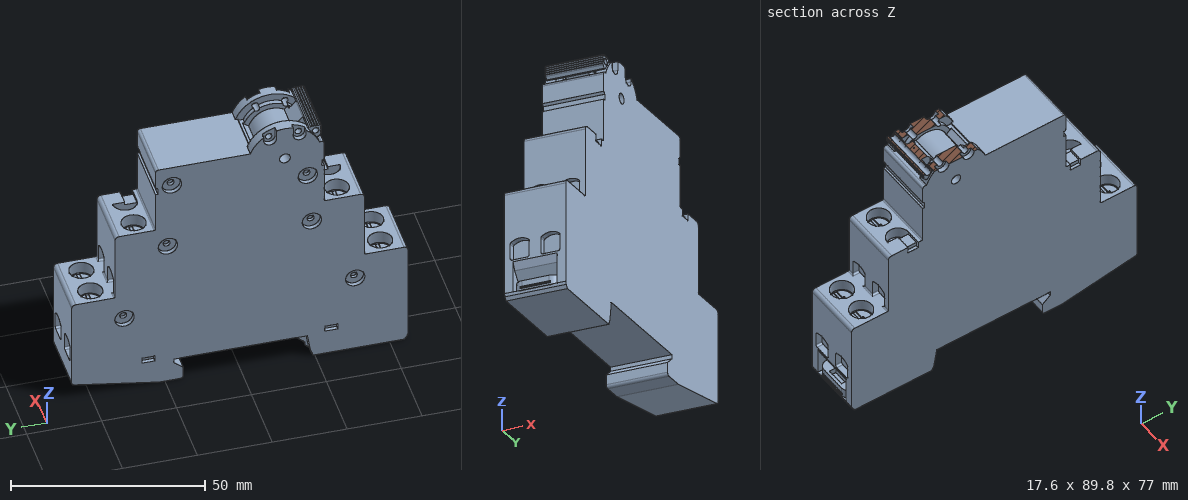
import cadquery as cq
import math

WIDTH = 17.6
LENGTH = 89.8
HALF_W = WIDTH / 2
HALF_L = LENGTH / 2

LOW_TOP = 30.6
MID_HALF_L = 33.3
MID_TOP = 50.7
TOP_HALF_L = 22.5
HOUSING_TOP = 70.6
STEP_ROUND = 1.1
CORNER_ROUND = 0.8
ROOT_ROUND = 0.4
CUT_MARGIN = 0.9

RAIL_ROOF = 6.8
RAIL_BACK_Y = 17.6
RAIL_FRONT_Y = -18.05
RAIL_BEND_Y = -18.95
RAIL_BEND_Z = 1.35
RAIL_LIP_Y = -19.6
HOOK_TOP = 3.6
HOOK_RAMP_TOP = 5.7
RAMP_START_Y = 21.4
RAMP_END_Z = 4.1
HOOK_TIP_Y = 15.1

TOE_TOP = 1.7
TOE_BEND_Z = 0.9
TOE_BEND_IN = 0.3
TOE_IN = 1.0

GROOVE_BOTTOM = 62.6
GROOVE_TOP = 64.8
GROOVE_DEPTH = 0.6

PIVOT_Y = -12.0
PIVOT_Z = 67.1
PIVOT_D = 2.9
CHEEK_R = 9.9
CHEEK_INNER_X = 5.7
RING_R = 7.8
DRUM_R = 6.3
DRUM_HALF_W = 4.3
ARM_HALF_W = 3.3
ARM_ROOT = (-15.45, 72.4)
ARM_TIP = (-20.4, 72.4)
ARM_FOOT = (-16.6, 69.15)
SHOULDER_END = (-16.4, 73.4)
SHELF_BACK_Y = -3.5
SHELF_FRONT_Y = -5.4
SHELF_DEPTH = 0.4
TRENCH_BACK_Y = -4.3
TRENCH_RAMP_END_Y = -6.0
TRENCH_FRONT_Y = -7.6
TRENCH_FLOOR = 68.8
PIN_OFFSET_Y = 3.95
PIN_Z = 74.2
PIN_D = 1.7
PIN_POCKET_R = 1.7
PIN_POCKET_DEPTH = 1.4
GRIP_HALF_W = 8.3
GRIP_HEEL = (-18.3, 75.25)
GRIP_HEEL_TOP = (-18.6, 75.6)
GRIP_BOTTOM_BACK_Y = -20.5
GRIP_BOTTOM_FRONT_Y = -21.1
GRIP_RIB_START_Y = -19.0
GRIP_FRONT_Y = -22.0
GRIP_TOP = 75.9
GRIP_RIB_END = 72.7
GRIP_BOTTOM = 72.0
GRIP_HOLE_D = 1.7
GRIP_HOLE_Y = -20.4
RIB_DEPTH = 0.3
TOP_RIBS = 4
FRONT_RIBS = 5

SCREW_X = 4.3
SCREW_HOLE_R = 3.2
SCREW_DEPTH = 3.4
HEAD_R = 3.05
HEAD_SINK = 0.2
LOW_SCREW_Y = 38.7
MID_SCREW_Y = 27.1
SLOT_WIDTH = 0.9
SLOT_DEPTH = 0.5
CROSS_WIDTH = 1.0
CROSS_LENGTH = 2.1

NOTCH_DEPTH = 0.8
NOTCH_EDGE_DEPTH = 2.0
NOTCH_EDGE_WIDTH = 0.9

ENTRY_X = 4.4
ENTRY_WIDTH = 5.4
ENTRY_HEIGHT = 5.8
ENTRY_SHOULDER = 4.85
ENTRY_DEPTH = 1.9
ENTRY_ROUND = 0.5
LOW_ENTRY_Z = 10.8

RIVETS = [(18.1, 64.75), (-18.1, 60.1), (19.2, 44.7), (-19.2, 44.7), (30.8, 23.3), (-30.8, 23.3)]
RIVET_D = 5.1
RIVET_DEPTH = 1.3
RIVET_CORE_D = 1.8
RIVET_CORE_DEPTH = 2.2
SIDE_SLOT_Y = 24.4
SIDE_SLOT_Z = 8.2
SIDE_SLOT_LENGTH = 3.4
SIDE_SLOT_HEIGHT = 1.6
SIDE_SLOT_DEPTH = 1.1

WINDOW_HALF_W = 6.3
WINDOW_FLOOR = 1.7
WINDOW_BEND = 8.1
WINDOW_TOP = 10.2
WINDOW_BEND_IN = 1.0
WINDOW_ROOF_IN = 4.0
SLIDER_TOP = 4.5
SLIDER_FRONT_Y = -44.6
SLIDER_ROUND = 2.4
LIP_HALF_W = 4.3
LIP_BOTTOM = 2.3
LIP_TOP = 2.8
SLIDER_NOTCH_W = 5.4
SLIDER_NOTCH_L = 2.0
SLIDER_RIM = 0.9

LATCH_HOOK = [
    (-19.8, RAIL_ROOF),
    (-16.7, RAIL_ROOF),
    (-16.7, 5.75),
    (-15.0, 5.5),
    (-18.1, 2.6),
    (-18.1, 1.7),
    (-19.0, 0.8),
    (-19.8, 0.8),
]


def extrude_x(sketch, x_min, x_max):
    """Extrude a closed YZ outline from x_min to x_max."""
    return sketch.extrude(x_max - x_min).translate((x_min, 0, 0))


def outline(points):
    return cq.Workplane("YZ").polyline(points).close()


def disc(y, z, radius, x_min, x_max):
    return extrude_x(cq.Workplane("YZ").center(y, z).circle(radius), x_min, x_max)


def upright_cylinder(x, y, radius, z_min, z_max):
    return cq.Workplane("XY").workplane(offset=z_min).center(x, y).circle(radius).extrude(z_max - z_min)


def block(x_min, x_max, y_min, y_max, z_min, z_max):
    size = (x_max - x_min, y_max - y_min, z_max - z_min)
    return cq.Workplane("XY").box(*size, centered=False).translate((x_min, y_min, z_min))


def round_edges_at(body, places, radius):
    """Fillet the edges that run along X through the given (Y, Z) places."""
    reach = 0.1
    for y, z in places:
        near = cq.selectors.BoxSelector(
            (-HALF_W, y - reach, z - reach), (HALF_W, y + reach, z + reach)
        )
        body = body.edges(near).fillet(radius)
    return body


def both_ends(y, z):
    return [(y, z), (-y, z)]


def housing():
    body = outline(
        [
            (HALF_L, RAMP_END_Z),
            (HALF_L, LOW_TOP),
            (MID_HALF_L, LOW_TOP),
            (MID_HALF_L, MID_TOP),
            (TOP_HALF_L, MID_TOP),
            (TOP_HALF_L, HOUSING_TOP),
            (-TOP_HALF_L, HOUSING_TOP),
            (-TOP_HALF_L, MID_TOP),
            (-MID_HALF_L, MID_TOP),
            (-MID_HALF_L, LOW_TOP),
            (-HALF_L, LOW_TOP),
            (-HALF_L, TOE_TOP),
            (-HALF_L + TOE_BEND_IN, TOE_BEND_Z),
            (-HALF_L + TOE_IN, 0),
            (RAIL_LIP_Y, 0),
            (RAIL_BEND_Y, RAIL_BEND_Z),
            (RAIL_FRONT_Y, RAIL_ROOF),
            (RAIL_BACK_Y, RAIL_ROOF),
            (RAIL_BACK_Y, HOOK_RAMP_TOP),
            (HOOK_TIP_Y, HOOK_TOP),
            (HOOK_TIP_Y, 0),
            (RAMP_START_Y, 0),
        ]
    )
    body = extrude_x(body, -HALF_W, HALF_W)
    steps = both_ends(HALF_L, LOW_TOP) + both_ends(MID_HALF_L, MID_TOP)
    body = round_edges_at(body, steps, STEP_ROUND)
    corners = both_ends(TOP_HALF_L, HOUSING_TOP) + [(HALF_L, RAMP_END_Z), (HOOK_TIP_Y, 0)]
    body = round_edges_at(body, corners, CORNER_ROUND)
    roots = both_ends(MID_HALF_L, LOW_TOP) + both_ends(TOP_HALF_L, MID_TOP)
    return round_edges_at(body, roots, ROOT_ROUND)


def label_groove():
    inner = TOP_HALF_L - GROOVE_DEPTH
    groove = outline(
        [
            (TOP_HALF_L, GROOVE_BOTTOM),
            (inner, GROOVE_BOTTOM),
            (inner, GROOVE_TOP - GROOVE_DEPTH),
            (TOP_HALF_L, GROOVE_TOP),
        ]
    )
    return extrude_x(groove, -HALF_W, HALF_W)


def screw_hole(x, y, top):
    """Round screw well with a slotted, slightly sunken cross-head in its floor."""
    floor = top - SCREW_DEPTH
    slot_bottom = floor - SLOT_DEPTH
    well = upright_cylinder(x, y, SCREW_HOLE_R, floor, top)
    head = upright_cylinder(x, y, HEAD_R, floor - HEAD_SINK, floor)
    slot = block(-SCREW_HOLE_R, SCREW_HOLE_R, -SLOT_WIDTH / 2, SLOT_WIDTH / 2, slot_bottom, floor)
    cross = block(-CROSS_WIDTH / 2, CROSS_WIDTH / 2, -CROSS_LENGTH / 2, CROSS_LENGTH / 2, slot_bottom, floor)
    return well.union(head).union(slot.union(cross).translate((x, y, 0)))


def half_pocket():
    """Half-round pocket in the middle tier with a notch out to the +X side."""
    well = upright_cylinder(SCREW_X, MID_SCREW_Y, SCREW_HOLE_R, MID_TOP - SCREW_DEPTH, MID_TOP)
    well = well.intersect(block(-HALF_W, SCREW_X, 0, HALF_L, 0, HOUSING_TOP))
    near = MID_SCREW_Y - SCREW_HOLE_R
    shelf = block(SCREW_X, HALF_W, near, MID_SCREW_Y, MID_TOP - NOTCH_DEPTH, MID_TOP)
    edge = block(HALF_W - NOTCH_EDGE_WIDTH, HALF_W, near, MID_SCREW_Y, MID_TOP - NOTCH_EDGE_DEPTH, MID_TOP)
    return well.union(shelf).union(edge)


def wire_entry(x, wall_y, bottom):
    """Shallow arched wire entry sunk into the +Y wall at wall_y."""
    half = ENTRY_WIDTH / 2
    arch = (
        cq.Workplane("XZ")
        .moveTo(-half, 0)
        .lineTo(half, 0)
        .lineTo(half, ENTRY_SHOULDER)
        .threePointArc((0, ENTRY_HEIGHT), (-half, ENTRY_SHOULDER))
        .close()
        .extrude(ENTRY_DEPTH + CUT_MARGIN)
        .edges("|Y").fillet(ENTRY_ROUND)
    )
    return arch.translate((x, wall_y + CUT_MARGIN, bottom))


def terminals():
    """Every terminal cut of the +Y end."""
    cuts = half_pocket().union(screw_hole(-SCREW_X, MID_SCREW_Y, MID_TOP))
    for side in (-1, 1):
        cuts = cuts.union(screw_hole(side * SCREW_X, LOW_SCREW_Y, LOW_TOP))
        cuts = cuts.union(wire_entry(side * ENTRY_X, MID_HALF_L, LOW_TOP))
        cuts = cuts.union(wire_entry(side * ENTRY_X, HALF_L, LOW_ENTRY_Z))
    return cuts


def side_recesses():
    """Rivet recesses and rectangular marks of the -X side."""
    cuts = cq.Workplane("YZ")
    for y, z in RIVETS:
        cuts = cuts.add(disc(y, z, RIVET_D / 2, -HALF_W, -HALF_W + RIVET_DEPTH))
        cuts = cuts.add(disc(y, z, RIVET_CORE_D / 2, -HALF_W, -HALF_W + RIVET_CORE_DEPTH))
    for y in (-SIDE_SLOT_Y, SIDE_SLOT_Y):
        mark = cq.Workplane("YZ").center(y, SIDE_SLOT_Z).rect(SIDE_SLOT_LENGTH, SIDE_SLOT_HEIGHT)
        cuts = cuts.add(extrude_x(mark, -HALF_W, -HALF_W + SIDE_SLOT_DEPTH))
    return cuts.combine()


def latch_window():
    window = outline(
        [
            (-HALF_L, WINDOW_FLOOR),
            (-HALF_L, WINDOW_TOP),
            (-HALF_L + WINDOW_BEND_IN, WINDOW_BEND),
            (-HALF_L + WINDOW_ROOF_IN, SLIDER_TOP),
            (-HALF_L + WINDOW_ROOF_IN, WINDOW_FLOOR),
        ]
    )
    return extrude_x(window, -WINDOW_HALF_W, WINDOW_HALF_W)


def latch():
    """Slider in the window and the spring hook that reaches into the rail recess."""
    back = -HALF_L + WINDOW_ROOF_IN
    slider = block(-WINDOW_HALF_W, WINDOW_HALF_W, SLIDER_FRONT_Y, back, WINDOW_FLOOR, SLIDER_TOP)
    slider = slider.edges("|Z and <Y").fillet(SLIDER_ROUND)
    notch_front = SLIDER_FRONT_Y + SLIDER_RIM
    notch_back = notch_front + SLIDER_NOTCH_L
    slider = slider.cut(
        block(-SLIDER_NOTCH_W / 2, SLIDER_NOTCH_W / 2, notch_front, notch_back, LIP_TOP, SLIDER_TOP)
    )
    lip = block(-LIP_HALF_W, LIP_HALF_W, -HALF_L, SLIDER_FRONT_Y, LIP_BOTTOM, LIP_TOP)
    hook = extrude_x(outline(LATCH_HOOK), -WINDOW_HALF_W, WINDOW_HALF_W)
    return slider.union(lip).union(hook)


def ribbed_edge(start, end, ribs):
    """Zigzag points from start to end; the rib crests lie on the line, the valleys to its left."""
    run_y = end[0] - start[0]
    run_z = end[1] - start[1]
    length = math.hypot(run_y, run_z)
    points = []
    for step in range(2 * ribs + 1):
        along = step / (2 * ribs)
        lift = RIB_DEPTH * (step % 2) - RIB_DEPTH
        points.append(
            (
                start[0] + run_y * along + lift * run_z / length,
                start[1] + run_z * along - lift * run_y / length,
            )
        )
    return points


def grip_bar():
    """Grip bar across the toggle, ribbed on its top and front faces."""
    profile = [(GRIP_BOTTOM_BACK_Y, GRIP_BOTTOM), GRIP_HEEL, GRIP_HEEL_TOP]
    profile += ribbed_edge((GRIP_RIB_START_Y, GRIP_TOP), (GRIP_FRONT_Y + RIB_DEPTH, GRIP_TOP), TOP_RIBS)
    front_ribs = ribbed_edge((GRIP_FRONT_Y, GRIP_TOP - RIB_DEPTH), (GRIP_FRONT_Y, GRIP_RIB_END), FRONT_RIBS)
    profile += front_ribs[1:]
    profile += [(GRIP_BOTTOM_FRONT_Y, GRIP_BOTTOM)]
    bar = extrude_x(outline(profile), -GRIP_HALF_W, GRIP_HALF_W)
    return bar.cut(disc(GRIP_HOLE_Y, PIN_Z, GRIP_HOLE_D / 2, -HALF_W, HALF_W))


def toggle_pocket():
    """Shallow shelf and sloped trench in the top, behind the drum."""
    shelf_z = HOUSING_TOP - SHELF_DEPTH
    shelf = block(-CHEEK_INNER_X, CHEEK_INNER_X, SHELF_FRONT_Y, SHELF_BACK_Y, shelf_z, HOUSING_TOP)
    trench = outline(
        [
            (TRENCH_BACK_Y, HOUSING_TOP),
            (TRENCH_BACK_Y, shelf_z),
            (TRENCH_RAMP_END_Y, TRENCH_FLOOR),
            (TRENCH_FRONT_Y, TRENCH_FLOOR),
            (TRENCH_FRONT_Y, HOUSING_TOP),
        ]
    )
    return shelf.union(extrude_x(trench, -DRUM_HALF_W, DRUM_HALF_W))


def toggle():
    arm = outline([ARM_ROOT, GRIP_HEEL, ARM_TIP, ARM_FOOT])
    root_y, root_z = ARM_ROOT
    shoulder_y, shoulder_z = SHOULDER_END
    shoulder = outline(
        [(root_y, root_z), (shoulder_y, shoulder_z), (shoulder_y, HOUSING_TOP), (root_y, HOUSING_TOP)]
    )
    body = disc(PIVOT_Y, PIVOT_Z, DRUM_R, -DRUM_HALF_W, DRUM_HALF_W)
    body = body.union(extrude_x(arm, -ARM_HALF_W, ARM_HALF_W))
    body = body.union(extrude_x(shoulder, -DRUM_HALF_W, DRUM_HALF_W))
    for inner, outer, radius in ((CHEEK_INNER_X, HALF_W, CHEEK_R), (DRUM_HALF_W, CHEEK_INNER_X, RING_R)):
        body = body.union(disc(PIVOT_Y, PIVOT_Z, radius, inner, outer))
        body = body.union(disc(PIVOT_Y, PIVOT_Z, radius, -outer, -inner))
    return body


def pin_cuts():
    """Pin holes through the cheeks, each in a pocket open to the rim, and the pivot hole."""
    cuts = disc(PIVOT_Y, PIVOT_Z, PIVOT_D / 2, -HALF_W, HALF_W)
    for y in (PIVOT_Y - PIN_OFFSET_Y, PIVOT_Y + PIN_OFFSET_Y):
        cuts = cuts.union(disc(y, PIN_Z, PIN_D / 2, -HALF_W, HALF_W))
        for x in (-HALF_W, HALF_W - PIN_POCKET_DEPTH):
            x_end = x + PIN_POCKET_DEPTH
            cuts = cuts.union(disc(y, PIN_Z, PIN_POCKET_R, x, x_end))
            rim = PIVOT_Z + CHEEK_R
            cuts = cuts.union(block(x, x_end, y - PIN_POCKET_R, y + PIN_POCKET_R, PIN_Z, rim))
    return cuts


rear_terminals = terminals()

result = (
    housing()
    .cut(label_groove())
    .cut(label_groove().mirror("XZ"))
    .cut(rear_terminals)
    .cut(rear_terminals.mirror("XZ"))
    .cut(latch_window())
    .union(latch())
    .cut(toggle_pocket())
    .union(toggle())
    .cut(pin_cuts())
    .union(grip_bar())
    .cut(side_recesses())
)